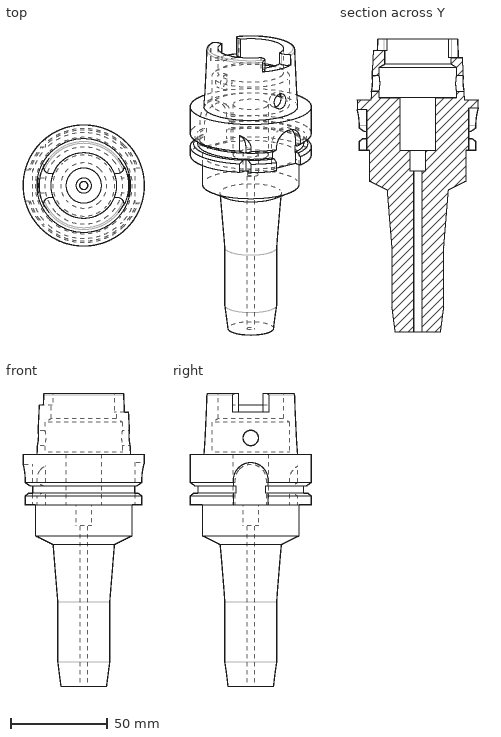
import cadquery as cq
import math

total_length = 152.0
flange_radius = 31.5
flange_top = 120.4
flange_bottom = 94.2

groove_radius = 27.5
groove_top = 104.0
groove_bottom = 100.3
upper_bevel_top = 105.8
upper_bevel_radius = 28.9
lower_bevel_bottom = 98.8
lower_bevel_radius = 29.6

shank_base_radius = 24.3
shank_top_radius = 22.8
rim_radius = 0.9

body_radius = 25.1
body_bottom = 78.1
neck_top = 73.5
neck_top_radius = 16.0
nose_top = 44.0
nose_radius = 13.5
tip_top = 12.8
tip_radius = 11.9

mouth_radius = 17.0
undercut_top = 139.0
undercut_radius = 20.0
undercut_bevel_height = 1.8
bore_floor = 121.6
middle_radius = 9.1
middle_floor = 94.2
seat_radius = 4.0
seat_floor = 83.6
channel_radius = 2.05

cross_hole_radius = 4.0
cross_hole_height = 128.9

drive_half_width = 6.2
drive_corner_radius = 3.3
drive_corner_reach = 20.8
left_drive_depth = 6.0
right_drive_depth = 9.7

slot_center_height = 107.2
slot_floor = 26.5
left_slot_radius = 8.0
right_slot_radius = 9.0
notch_floor = 19.9
notch_inner_side = 20.0

clearance = 3.0


def make_turned_body():
    """Revolve the outer outline and round the shank rim."""
    outline = [
        (0, 0),
        (tip_radius, 0),
        (nose_radius, tip_top),
        (nose_radius, nose_top),
        (neck_top_radius, neck_top),
        (body_radius, body_bottom),
        (body_radius, flange_bottom),
        (flange_radius, flange_bottom),
        (flange_radius, lower_bevel_bottom),
        (lower_bevel_radius, groove_bottom),
        (groove_radius, groove_bottom),
        (groove_radius, groove_top),
        (upper_bevel_radius, groove_top),
        (flange_radius, upper_bevel_top),
        (flange_radius, flange_top),
        (shank_base_radius, flange_top),
        (shank_top_radius, total_length),
        (0, total_length),
    ]
    body = cq.Workplane("XZ").polyline(outline).close().revolve(360, (0, 0, 0), (0, 1, 0))
    return body.faces(">Z").edges().fillet(rim_radius)


def make_bore():
    """Revolve the stepped bore, which runs right through the part."""
    outline = [
        (0, -clearance),
        (channel_radius, -clearance),
        (channel_radius, seat_floor),
        (seat_radius, seat_floor),
        (seat_radius, middle_floor),
        (middle_radius, middle_floor),
        (middle_radius, bore_floor),
        (undercut_radius, bore_floor),
        (undercut_radius, undercut_top - undercut_bevel_height),
        (mouth_radius, undercut_top),
        (mouth_radius, total_length + clearance),
        (0, total_length + clearance),
    ]
    return cq.Workplane("XZ").polyline(outline).close().revolve(360, (0, 0, 0), (0, 1, 0))


def make_cross_hole():
    return (
        cq.Workplane("YZ")
        .center(0, cross_hole_height)
        .circle(cross_hole_radius)
        .extrude(flange_radius, both=True)
    )


def make_drive_slot(depth):
    """Slot opening toward +X, with rounded corners on the lugs beside it."""
    corner_start = drive_corner_reach - drive_corner_radius
    outer_half_width = drive_half_width + drive_corner_radius
    corner_mid_x = corner_start + drive_corner_radius * math.sin(math.pi / 4)
    corner_mid_y = outer_half_width - drive_corner_radius * math.cos(math.pi / 4)
    return (
        cq.Workplane("XY")
        .workplane(offset=total_length - depth)
        .moveTo(0, -drive_half_width)
        .lineTo(corner_start, -drive_half_width)
        .threePointArc((corner_mid_x, -corner_mid_y), (drive_corner_reach, -outer_half_width))
        .lineTo(flange_radius, -outer_half_width)
        .lineTo(flange_radius, outer_half_width)
        .lineTo(drive_corner_reach, outer_half_width)
        .threePointArc((corner_mid_x, corner_mid_y), (corner_start, drive_half_width))
        .lineTo(0, drive_half_width)
        .close()
        .extrude(depth + clearance)
    )


def make_flange_slot(center_y, radius, floor):
    """Flat-floored slot on the +X side, open below and rounded above."""
    return (
        cq.Workplane("YZ")
        .workplane(offset=floor)
        .moveTo(center_y - radius, flange_bottom)
        .lineTo(center_y + radius, flange_bottom)
        .lineTo(center_y + radius, slot_center_height)
        .threePointArc(
            (center_y, slot_center_height + radius),
            (center_y - radius, slot_center_height),
        )
        .close()
        .extrude(flange_radius)
    )


def to_left_side(shape):
    """Mirror a +X side cutter to the -X side."""
    return shape.mirror("YZ")


notch_center_y = notch_inner_side + left_slot_radius

cutters = [
    make_bore(),
    make_cross_hole(),
    make_drive_slot(right_drive_depth),
    to_left_side(make_drive_slot(left_drive_depth)),
    make_flange_slot(0, right_slot_radius, slot_floor),
    to_left_side(make_flange_slot(0, left_slot_radius, slot_floor)),
    to_left_side(make_flange_slot(notch_center_y, left_slot_radius, notch_floor)),
]

result = make_turned_body()
for cutter in cutters:
    result = result.cut(cutter)